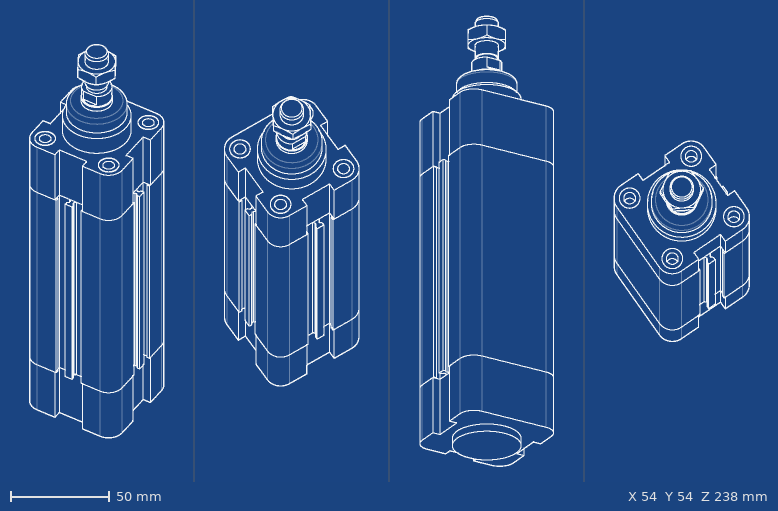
import cadquery as cq
import math


body_width = 54.0
corner_radius = 8.0
half_width = body_width / 2

total_height = 238
boss_height = 4.0
cap_height = 31
barrel_height = 118.0
barrel_base = boss_height + cap_height
front_cap_base = barrel_base + barrel_height
front_cap_top = front_cap_base + cap_height

groove_depth = 4.3
cap_groove_width = 16.5
groove_mouth_width = 15.0
lip_thickness = 1.7
groove_angles = (-90, 0, 90)

rib_width = 4.0
rib_neck_width = 2.1
rib_head_thickness = 1.5
rib_taper = (rib_width - rib_neck_width) / 2

hole_spacing = 38
hole_diameter = 6.0
hole_depth = 15.5
drill_point_angle = 118
recess_diameter = 10.5
recess_depth = 0.2

boss_diameter = 35.0
collar_step_height = 12.1
collar_top_diameter = 31
collar_height = 20.2
collar_step_chamfer = (boss_diameter - collar_top_diameter) / 2
collar_top_fillet = 2.1
collar_top = front_cap_top + collar_height

rod_diameter = 16.0
rod_root = front_cap_base
rod_shoulder = 207.3
rod_end_diameter = 15.5
shoulder_chamfer_height = 0.5
rod_end_top = 214.0
flat_distance = 13.3
flat_base = 208.5
neck_diameter = 10.5
thread_base = 216.8
thread_diameter = 12
thread_chamfer_height = 1.7
thread_tip_diameter = 10.5

nut_base = 224.0
nut_height = 7.1
nut_across_flats = 19
nut_across_corners = nut_across_flats / math.cos(math.radians(30))
nut_chamfer_angle = 30


def square_block(base, height):
    return (
        cq.Workplane("XY", origin=(0, 0, base))
        .rect(body_width, body_width)
        .extrude(height)
        .edges("|Z")
        .fillet(corner_radius)
    )


def cylinder(diameter, base, height):
    return cq.Workplane("XY", origin=(0, 0, base)).circle(diameter / 2).extrude(height)


def cut_grooves(block, groove):
    for angle in groove_angles:
        block = block.cut(groove.rotate((0, 0, 0), (0, 0, 1), angle))
    return block


def mirrored_outline(half_points, base, height):
    """Prism whose outline is the given right-hand half and its mirror image across X = 0."""
    left_points = [(-x, y) for x, y in reversed(half_points)]
    return (
        cq.Workplane("XY", origin=(0, 0, base))
        .polyline(half_points + left_points)
        .close()
        .extrude(height)
    )


def make_mounting_hole():
    """Blind drilled hole going down from Z = 0, with a conical end and a shallow recess at its mouth."""
    radius = hole_diameter / 2
    point_height = radius / math.tan(math.radians(drill_point_angle / 2))
    return (
        cq.Workplane("XZ")
        .polyline([
            (0, 0),
            (recess_diameter / 2, 0),
            (recess_diameter / 2, -recess_depth),
            (radius, -recess_depth),
            (radius, -hole_depth),
            (0, -hole_depth - point_height),
        ])
        .close()
        .revolve(360, (0, 0, 0), (0, 1, 0))
    )


def make_cap_block(base):
    groove = mirrored_outline(
        [(cap_groove_width / 2, -half_width), (cap_groove_width / 2, groove_depth - half_width)],
        base,
        cap_height,
    )
    return cut_grooves(square_block(base, cap_height), groove)


def cut_mounting_holes(cap):
    hole = make_mounting_hole()
    offset = hole_spacing / 2
    for x in (-offset, offset):
        for y in (-offset, offset):
            cap = cap.cut(hole.translate((x, y, front_cap_top)))
    return cap


def make_rear_cap():
    cap = make_cap_block(boss_height)
    return cap.union(cylinder(boss_diameter, 0, boss_height))


def make_front_cap():
    cap = cut_mounting_holes(make_cap_block(front_cap_base))
    lower_collar = cylinder(boss_diameter, front_cap_top, collar_step_height)
    lower_collar = lower_collar.faces(">Z").edges().chamfer(collar_step_chamfer)
    upper_collar = cylinder(collar_top_diameter, front_cap_top, collar_height)
    upper_collar = upper_collar.faces(">Z").edges().fillet(collar_top_fillet)
    rod_bore = cylinder(rod_diameter, rod_root, collar_top - rod_root)
    return cap.union(lower_collar).union(upper_collar).cut(rod_bore)


def make_barrel():
    lip_bottom = lip_thickness - half_width
    floor = groove_depth - half_width
    neck_start = rib_head_thickness + rib_taper - half_width
    groove = mirrored_outline(
        [
            (groove_mouth_width / 2, -half_width),
            (groove_mouth_width / 2, lip_bottom),
            (cap_groove_width / 2, lip_bottom),
            (cap_groove_width / 2, floor),
        ],
        barrel_base,
        barrel_height,
    )
    rib = mirrored_outline(
        [
            (rib_width / 2, -half_width),
            (rib_width / 2, rib_head_thickness - half_width),
            (rib_neck_width / 2, neck_start),
            (rib_neck_width / 2, floor - rib_taper),
            (rib_width / 2, floor),
        ],
        barrel_base,
        barrel_height,
    )
    return cut_grooves(square_block(barrel_base, barrel_height), groove.cut(rib))


def make_piston_rod():
    thread_chamfer_base = total_height - thread_chamfer_height
    rod = (
        cq.Workplane("XZ")
        .polyline([
            (0, rod_root),
            (rod_diameter / 2, rod_root),
            (rod_diameter / 2, rod_shoulder - shoulder_chamfer_height),
            (rod_end_diameter / 2, rod_shoulder),
            (rod_end_diameter / 2, rod_end_top),
            (neck_diameter / 2, rod_end_top),
            (neck_diameter / 2, thread_base),
            (thread_diameter / 2, thread_base),
            (thread_diameter / 2, thread_chamfer_base),
            (thread_tip_diameter / 2, total_height),
            (0, total_height),
        ])
        .close()
        .revolve(360, (0, 0, 0), (0, 1, 0))
    )
    return cut_wrench_flats(rod)


def cut_wrench_flats(rod):
    """Two flats facing -Y and +Y, each running out at 45 degrees at its lower end."""
    flat = flat_distance / 2
    outside = rod_diameter / 2
    flat_cutter = (
        cq.Workplane("YZ")
        .polyline([
            (flat, rod_end_top),
            (flat, flat_base),
            (outside, flat_base - (outside - flat)),
            (outside, rod_end_top),
        ])
        .close()
        .extrude(rod_diameter / 2, both=True)
    )
    return rod.cut(flat_cutter).cut(flat_cutter.mirror("XZ"))


def make_lock_nut():
    """Hexagon with corners on the X axis, both faces chamfered by a cone, on a plain bore."""
    corner = nut_across_corners / 2
    face = nut_across_flats / 2
    chamfer_height = (corner - face) * math.tan(math.radians(nut_chamfer_angle))
    hexagon = (
        cq.Workplane("XY", origin=(0, 0, nut_base))
        .polygon(6, nut_across_corners)
        .extrude(nut_height)
    )
    chamfered_disc = (
        cq.Workplane("XZ", origin=(0, 0, nut_base))
        .polyline([
            (0, 0),
            (face, 0),
            (corner, chamfer_height),
            (corner, nut_height - chamfer_height),
            (face, nut_height),
            (0, nut_height),
        ])
        .close()
        .revolve(360, (0, 0, 0), (0, 1, 0))
    )
    return hexagon.intersect(chamfered_disc).cut(cylinder(thread_diameter, nut_base, nut_height))


rear_cap = make_rear_cap()
barrel = make_barrel()
front_cap = make_front_cap()
piston_rod = make_piston_rod()
lock_nut = make_lock_nut()

result = cq.Compound.makeCompound([
    rear_cap.val(),
    barrel.val(),
    front_cap.val(),
    piston_rod.val(),
    lock_nut.val(),
])